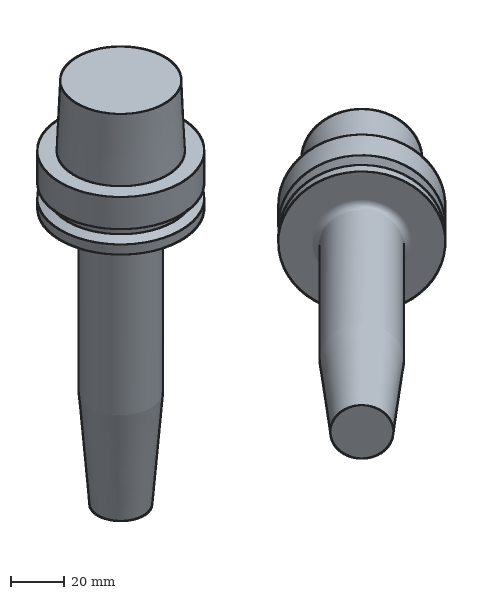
import cadquery as cq

total_height = 192.0

nose_tip_radius = 12.0
nose_height = 50.7
body_radius = 16.0
root_fillet = 2.9

flange_radius = 63.0 / 2
flange_bottom = 134.0
flange_top = 160.1

groove_radius = 55.0 / 2
groove_centre = 142.0
groove_floor_width = 3.0
groove_mouth_width = 7.0

shank_base_radius = 24.2
shank_top_radius = 22.8


def turned_body():
    profile = (
        cq.Workplane("XZ")
        .lineTo(nose_tip_radius, 0)
        .lineTo(body_radius, nose_height)
        .lineTo(body_radius, flange_bottom - root_fillet)
        .radiusArc((body_radius + root_fillet, flange_bottom), root_fillet)
        .lineTo(flange_radius, flange_bottom)
        .lineTo(flange_radius, flange_top)
        .lineTo(shank_base_radius, flange_top)
        .lineTo(shank_top_radius, total_height)
        .lineTo(0, total_height)
        .close()
    )
    return profile.revolve(360, (0, 0, 0), (0, 1, 0))


def gripper_groove():
    half_floor = groove_floor_width / 2
    half_mouth = groove_mouth_width / 2
    profile = cq.Workplane("XZ").polyline([
        (groove_radius, groove_centre - half_floor),
        (flange_radius, groove_centre - half_mouth),
        (flange_radius, groove_centre + half_mouth),
        (groove_radius, groove_centre + half_floor),
    ]).close()
    return profile.revolve(360, (0, 0, 0), (0, 1, 0))


result = turned_body().cut(gripper_groove())